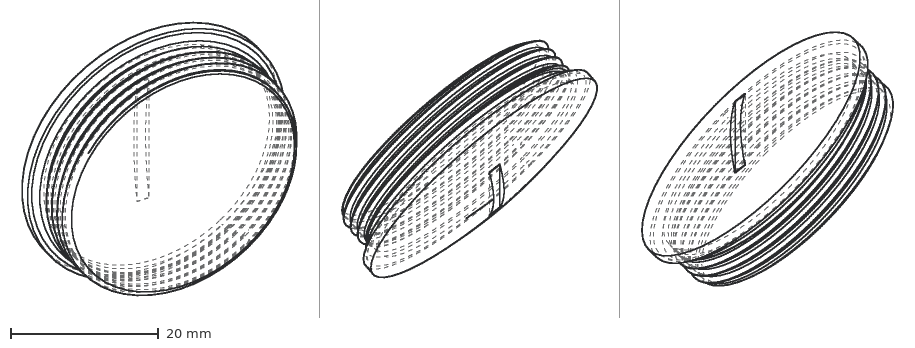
import cadquery as cq
import math


cap_radius = 19.92
dome_height = 3.15
dome_middle_radius = 10.35
dome_middle_drop = 0.95
dome_rim_slope = 0.27
rim_thickness = 1.6
rim_back = dome_height + rim_thickness

slot_length = 19.92
slot_width = 1.85
slot_depth = 0.95

total_length = 12.2
neck_radius = 34.95 / 2
neck_length = 2.0
thread_start = rim_back + neck_length
root_radius = 17.6
crest_radius = 18.33
end_radius = 17.25
end_chamfer_angle = 60.0

three_turn_advance = 4.5
pitch = three_turn_advance / 3
tooth_base_width = 1.05
tooth_crest_width = 0.1
tooth_sink = 0.1
trim_clearance = 0.4

seal_outer_radius = 19.3
seal_thickness = 0.95
seal_arc_radius = 1.0


def end_chamfer_start(radius):
    """X position at which the end chamfer cone has the given radius."""
    return total_length - (radius - end_radius) / math.tan(math.radians(end_chamfer_angle))


def turned(profile):
    """Revolve an XY profile, with Y as the radius, about the X axis."""
    return profile.close().revolve(360, (0, 0, 0), (1, 0, 0))


def make_cap():
    """Domed cap and plain neck."""
    return turned(
        cq.Workplane("XY")
        .moveTo(0, 0)
        .spline(
            [(dome_middle_drop, dome_middle_radius), (dome_height, cap_radius)],
            tangents=[(0, 1), (dome_rim_slope, 1)],
            includeCurrent=True,
        )
        .lineTo(rim_back, cap_radius)
        .lineTo(rim_back, neck_radius)
        .lineTo(thread_start, neck_radius)
        .lineTo(thread_start, 0)
    )


def make_threaded_shank():
    """Shank with a right-handed thread, trimmed at the neck and by the end chamfer."""
    helix_start = thread_start - pitch
    helix_length = total_length - helix_start + pitch
    helix = cq.Wire.makeHelix(pitch, helix_length, root_radius)
    sink_radius = root_radius - tooth_sink
    flank_slope = (tooth_base_width - tooth_crest_width) / 2 / (crest_radius - root_radius)
    sunk_half_width = tooth_base_width / 2 + flank_slope * tooth_sink
    crest_half_width = tooth_crest_width / 2
    tooth = cq.Workplane("XZ").polyline([
        (sink_radius, -sunk_half_width),
        (crest_radius, -crest_half_width),
        (crest_radius, crest_half_width),
        (sink_radius, sunk_half_width),
    ]).close()
    coil = (
        tooth.sweep(cq.Workplane(helix), isFrenet=True)
        .rotate((0, 0, 0), (0, 1, 0), 90)
        .rotate((0, 0, 0), (1, 0, 0), 180)
        .translate((helix_start, 0, 0))
    )
    core = (
        cq.Workplane("YZ", origin=(helix_start - pitch, 0, 0))
        .circle(root_radius)
        .extrude(helix_length + 2 * pitch)
    )
    trim_radius = crest_radius + trim_clearance
    envelope = turned(
        cq.Workplane("XY")
        .moveTo(thread_start, 0)
        .lineTo(thread_start, trim_radius)
        .lineTo(end_chamfer_start(trim_radius), trim_radius)
        .lineTo(total_length, end_radius)
        .lineTo(total_length, 0)
    )
    return core.union(coil).intersect(envelope)


def make_plug():
    """Cap and threaded shank with a flat-bottomed slot in the dome."""
    slot = cq.Workplane("XY").box(2 * slot_depth, slot_width, slot_length)
    return make_cap().cut(slot).union(make_threaded_shank())


def make_seal():
    """Ring on the neck whose outside is an arc, parallel to the axis at the rim."""
    arc_angle = math.asin(seal_thickness / seal_arc_radius)

    def arc_point(angle):
        drop = seal_arc_radius * (1 - math.cos(angle))
        return (rim_back + seal_arc_radius * math.sin(angle), seal_outer_radius - drop)

    return turned(
        cq.Workplane("XY")
        .moveTo(rim_back, neck_radius)
        .lineTo(rim_back, seal_outer_radius)
        .threePointArc(arc_point(arc_angle / 2), arc_point(arc_angle))
        .lineTo(rim_back + seal_thickness, neck_radius)
    )


plug = make_plug()
seal = make_seal()
result = cq.Compound.makeCompound([plug.val(), seal.val()])